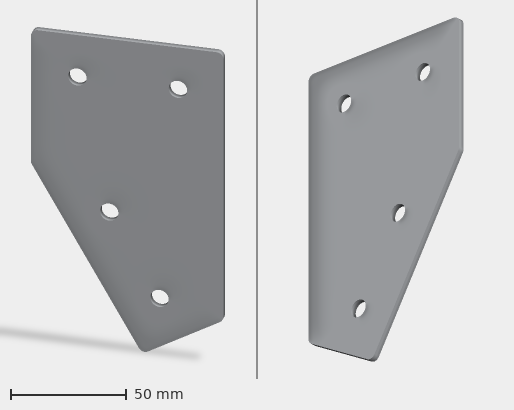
import cadquery as cq
import math

width = 86.0
height = 150.0
thickness = 3.0
corner_radius = 3.0

tilt = math.radians(30)
tip_round_x = 50.9

hole_diameter = 8.3
hole_pitch = 45.0
top_hole_x = 20.7
top_hole_z = -20.4
slanted_hole_x = 35.0
slanted_hole_z = -84.2

tip_x = tip_round_x + corner_radius * (math.sin(tilt) - math.cos(tilt))
tip_z = corner_radius - height - corner_radius * (math.sin(tilt) + math.cos(tilt))
left_corner_z = tip_z + tip_x / math.tan(tilt)
right_corner_z = tip_z + (width - tip_x) * math.tan(tilt)

outline = [
    (0, 0),
    (width, 0),
    (width, right_corner_z),
    (tip_x, tip_z),
    (0, left_corner_z),
]

hole_centres = [
    (top_hole_x, top_hole_z),
    (top_hole_x + hole_pitch, top_hole_z),
    (slanted_hole_x, slanted_hole_z),
    (
        slanted_hole_x + hole_pitch * math.sin(tilt),
        slanted_hole_z - hole_pitch * math.cos(tilt),
    ),
]

plate = cq.Workplane("XZ").polyline(outline).close().extrude(thickness)
plate = plate.edges("|Y").fillet(corner_radius)

holes = (
    cq.Workplane("XZ")
    .pushPoints(hole_centres)
    .circle(hole_diameter / 2)
    .extrude(thickness)
)

result = plate.cut(holes)